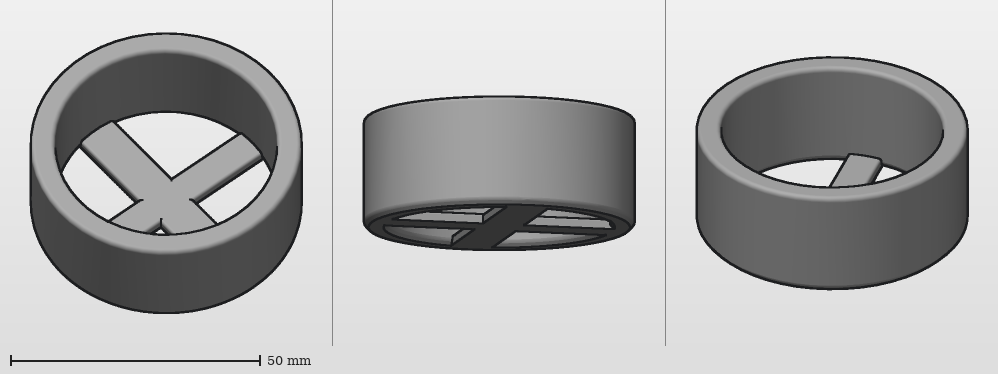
import cadquery as cq

outer_diameter = 54.5
bore_diameter = 44.5
height = 22.0
rim_size = 1.0

x_bar_width = 8.5
y_bar_width = 7.0
bar_thickness = 2.0
bar_fillet = 0.6
ring_mid_radius = (outer_diameter + bore_diameter) / 4


def make_ring():
    """Tube with filleted top rims and chamfered bottom rims that blend into the walls."""
    body = cq.Workplane("XY").circle(outer_diameter / 2).circle(bore_diameter / 2).extrude(height)
    body = body.faces("<Z").edges().chamfer(rim_size)
    blend_zone = cq.selectors.BoxSelector(
        (-outer_diameter, -outer_diameter, rim_size / 2),
        (outer_diameter, outer_diameter, rim_size * 1.5),
        boundingbox=True,
    )
    body = body.edges("%CIRCLE").edges(blend_zone).fillet(rim_size)
    return body.faces(">Z").edges().fillet(rim_size)


def make_cross():
    """Two crossing bars with rounded upper edges, ending inside the ring wall."""
    untrimmed_length = outer_diameter
    x_bar = cq.Workplane("XY").rect(untrimmed_length, x_bar_width).extrude(bar_thickness)
    y_bar = cq.Workplane("XY").rect(y_bar_width, untrimmed_length).extrude(bar_thickness)
    cross = x_bar.union(y_bar).faces(">Z").edges().fillet(bar_fillet)
    trim = cq.Workplane("XY").circle(ring_mid_radius).extrude(bar_thickness)
    return cross.intersect(trim)


result = make_ring().union(make_cross())